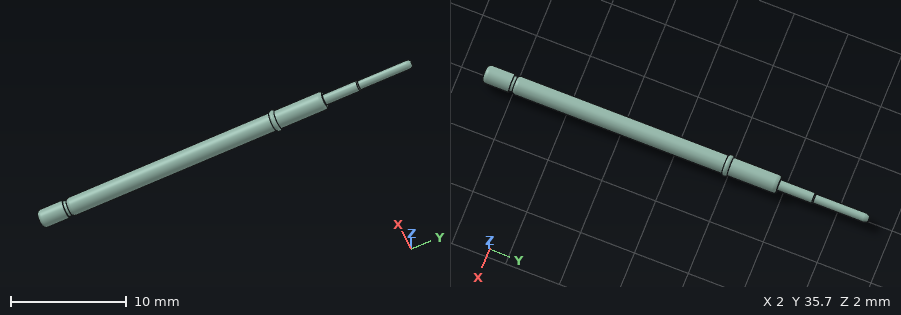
import cadquery as cq

total_length = 35.7

barrel_radius = 0.85
rear_fillet = 0.43
crimp_radius = 0.7
crimp_arc = 0.5
groove_wall_radius = 0.75
groove_rear = 2.55
groove_valley = 2.82
groove_front = 3.15
barrel_front = 27.35
nose_length = groove_front - groove_valley

ring_radius = 1.0
ring_half_width = 0.25
ring_position = 22.6

sleeve_radius = 0.5
pin_radius = 0.43
step_rear = 30.55
step_length = 0.1

tip_length = 0.4
tip_flat_radius = 0.2
tip_arc = 0.57

rear_end = -total_length / 2
front_end = total_length / 2


def along(distance):
    """Y coordinate of a distance from the rear end."""
    return rear_end + distance


def make_turned_body():
    """Revolve the half profile of the barrel, ring and plunger."""
    fillet_middle = rear_fillet * 0.5 ** 0.5
    return (
        cq.Workplane("XY")
        .moveTo(0, rear_end)
        .lineTo(barrel_radius - rear_fillet, rear_end)
        .threePointArc(
            (barrel_radius - rear_fillet + fillet_middle, along(rear_fillet - fillet_middle)),
            (barrel_radius, along(rear_fillet)),
        )
        .lineTo(barrel_radius, along(groove_rear))
        .lineTo(groove_wall_radius, along(groove_rear))
        .lineTo(crimp_radius, along(groove_valley))
        .radiusArc((barrel_radius, along(groove_front)), -crimp_arc)
        .lineTo(barrel_radius, along(ring_position - ring_half_width))
        .threePointArc(
            (ring_radius, along(ring_position)),
            (barrel_radius, along(ring_position + ring_half_width)),
        )
        .lineTo(barrel_radius, along(barrel_front - nose_length))
        .radiusArc((crimp_radius, along(barrel_front)), -crimp_arc)
        .lineTo(sleeve_radius, along(barrel_front))
        .lineTo(sleeve_radius, along(step_rear))
        .lineTo(pin_radius, along(step_rear + step_length))
        .lineTo(pin_radius, front_end - tip_length)
        .radiusArc((tip_flat_radius, front_end), -tip_arc)
        .lineTo(0, front_end)
        .close()
        .revolve(360, (0, 0, 0), (0, 1, 0))
    )


result = make_turned_body()